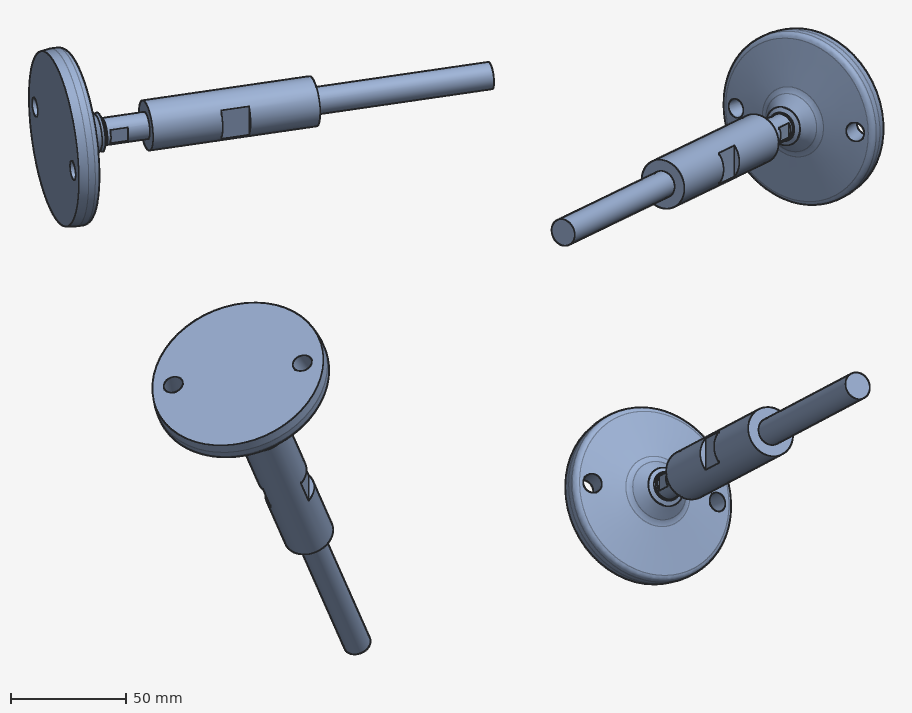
import cadquery as cq
import math


foot_diameter = 78.0
base_inset = 0.5
lower_rim_height = 4.1
hub_base_radius = 14.2
hub_base_height = 13.4
plate_slope = 9.0
plate_edge_fillet = 2.8
hub_fillet = 5.0
hub_top_radius = 7.9
hub_top_height = 19.5
lip_radius = 8.7
lip_height = 20.7
foot_top_radius = 6.5
foot_top_height = 21.9

hole_diameter = 8.5
hole_base_radius = 29.0

overall_length = 197.0
spindle_diameter = 12.0
shoulder_height = 22.5
neck_diameter = 10.0
socket_floor_height = 11.8
spindle_flat_width = 10.0
spindle_flat_start = 24.0
spindle_flat_length = 7.9

sleeve_diameter = 22.0
sleeve_start = 41.5
sleeve_length = 75.5
sleeve_flat_width = 17.0
sleeve_flat_length = 12.6


def rod(diameter, start, end):
    """Cylinder on the Y axis between two heights."""
    return (
        cq.Workplane("XZ", origin=(0, start, 0))
        .circle(diameter / 2)
        .extrude(start - end)
    )


def cut_flats(body, diameter, width, start, length):
    """Cut a pair of opposite flats, facing -X and +X, into a round body."""
    depth = (diameter - width) / 2
    for side in (-1, 1):
        cutter = (
            cq.Workplane("XY")
            .box(depth, length, diameter)
            .translate((side * (width + depth) / 2, start + length / 2, 0))
        )
        body = body.cut(cutter)
    return body


def circle_at(radius, height):
    """Selector for the circular edge of a turned body at one radius and height."""
    margin = 0.2
    reach = radius + margin
    return cq.selectors.BoxSelector(
        (-reach, height - margin, -reach),
        (reach, height + margin, reach),
    )


def make_foot():
    rim_radius = foot_diameter / 2
    rise = (rim_radius - hub_base_radius) * math.tan(math.radians(plate_slope))
    rim_top_height = hub_base_height - rise
    foot = (
        cq.Workplane("XY")
        .moveTo(0, 0)
        .lineTo(rim_radius - base_inset, 0)
        .lineTo(rim_radius, lower_rim_height)
        .lineTo(rim_radius, rim_top_height)
        .lineTo(hub_base_radius, hub_base_height)
        .lineTo(hub_top_radius, hub_top_height)
        .lineTo(lip_radius, lip_height)
        .lineTo(foot_top_radius, foot_top_height)
        .lineTo(0, foot_top_height)
        .close()
        .revolve(360, (0, 0, 0), (0, 1, 0))
    )
    foot = foot.edges(circle_at(rim_radius, rim_top_height)).fillet(plate_edge_fillet)
    foot = foot.edges(circle_at(hub_base_radius, hub_base_height)).fillet(hub_fillet)
    foot = foot.cut(rod(neck_diameter, socket_floor_height, foot_top_height))

    overrun = hub_base_height
    tilt = math.radians(plate_slope)
    for side in (-1, 1):
        direction = cq.Vector(side * math.sin(tilt), math.cos(tilt), 0)
        start = cq.Vector(side * hole_base_radius, 0, 0) - direction * overrun
        cutter = cq.Solid.makeCylinder(hole_diameter / 2, 3 * overrun, start, direction)
        foot = foot.cut(cq.Workplane(cutter))
    return foot


def make_spindle():
    shaft = rod(spindle_diameter, shoulder_height, overall_length)
    neck = rod(neck_diameter, socket_floor_height, shoulder_height)
    return cut_flats(
        shaft.union(neck),
        spindle_diameter,
        spindle_flat_width,
        spindle_flat_start,
        spindle_flat_length,
    )


def make_sleeve():
    sleeve_end = sleeve_start + sleeve_length
    sleeve = rod(sleeve_diameter, sleeve_start, sleeve_end)
    sleeve = sleeve.cut(rod(spindle_diameter, sleeve_start, sleeve_end))
    flat_start = sleeve_start + (sleeve_length - sleeve_flat_length) / 2
    return cut_flats(sleeve, sleeve_diameter, sleeve_flat_width, flat_start, sleeve_flat_length)


foot = make_foot()
spindle = make_spindle()
sleeve = make_sleeve()

result = cq.Compound.makeCompound([foot.solids().val(), spindle.solids().val(), sleeve.solids().val()])